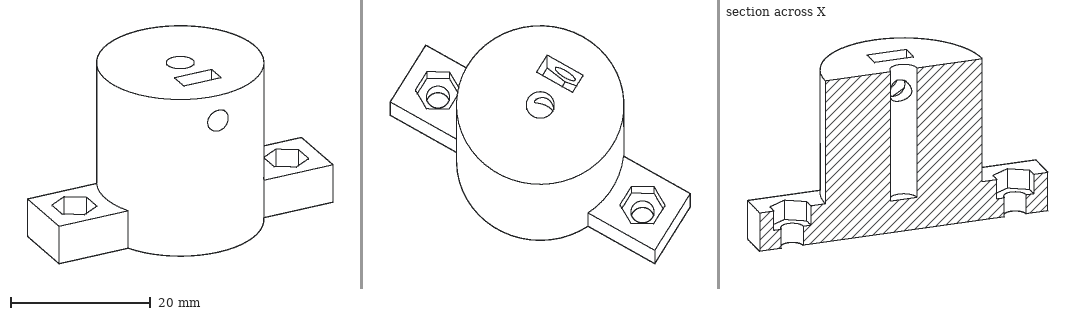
import cadquery as cq
import math

body_diameter = 24.0
body_height = 25.0
overall_length = 44.0
tab_width = 10.0
tab_height = 6.0

screw_spacing = 34.0
screw_diameter = 3.3
nut_corner_diameter = 6.45
nut_depth = 3.0

shaft_diameter = 4.0
shaft_depth = 20.0

set_screw_drop = 4.0
set_screw_z = body_height - set_screw_drop
nut_slot_center_x = 5.5
nut_slot_width = 3.0
nut_slot_length = 6.0


def make_body():
    cylinder = cq.Workplane("XY").circle(body_diameter / 2).extrude(body_height)
    tabs = cq.Workplane("XY").rect(tab_width, overall_length).extrude(tab_height)
    return cylinder.union(tabs)


def make_screw_cut(y):
    hole = cq.Workplane("XY").center(0, y).circle(screw_diameter / 2).extrude(tab_height)
    nut_pocket = (
        cq.Workplane("XY", origin=(0, y, tab_height - nut_depth))
        .polygon(6, nut_corner_diameter)
        .extrude(nut_depth)
    )
    return hole.union(nut_pocket)


def make_shaft_hole():
    return (
        cq.Workplane("XY", origin=(0, 0, body_height - shaft_depth))
        .circle(shaft_diameter / 2)
        .extrude(shaft_depth)
    )


def make_nut_slot():
    half_length = nut_slot_length / 2
    flat_rise = half_length * math.tan(math.radians(30))
    corner_radius = half_length / math.cos(math.radians(30))
    floor_z = set_screw_z - corner_radius
    return (
        cq.Workplane("YZ", origin=(nut_slot_center_x, 0, 0))
        .moveTo(-half_length, body_height)
        .lineTo(half_length, body_height)
        .lineTo(half_length, floor_z + flat_rise)
        .lineTo(0, floor_z)
        .lineTo(-half_length, floor_z + flat_rise)
        .close()
        .extrude(nut_slot_width / 2, both=True)
    )


def make_set_screw_hole():
    return (
        cq.Workplane("YZ", origin=(0, 0, set_screw_z))
        .circle(screw_diameter / 2)
        .extrude(body_diameter / 2)
    )


result = make_body().cut(make_shaft_hole()).cut(make_nut_slot()).cut(make_set_screw_hole())
for side in (-1, 1):
    result = result.cut(make_screw_cut(side * screw_spacing / 2))